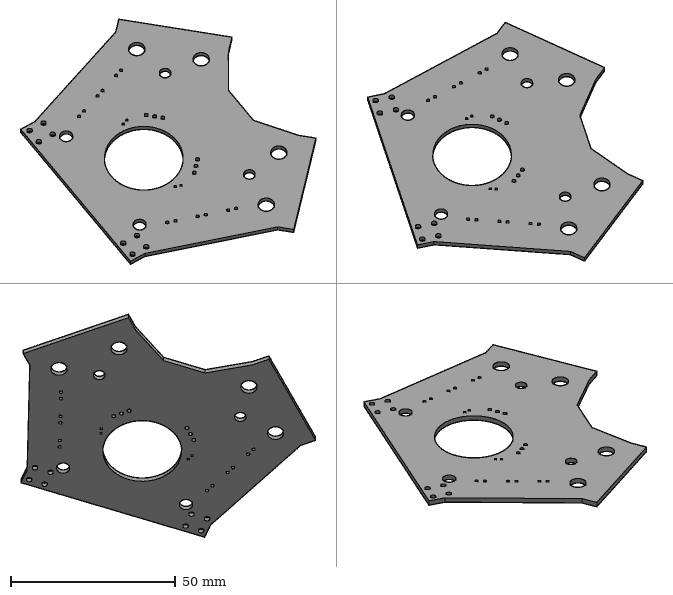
import cadquery as cq

thickness = 1.6
half_width = 47.7
top_y = 47.7
bottom_y = top_y - 72.7
bore_diameter = 24.0

base_half_width = 30.0
base_side_height = 5.25
arm_end_span = 24.8
outer_shoulder = 3.5
inner_shoulder = 3.8
notch_half_width = 6.8
notch_y = 35.7

arm_hole_diameter = 5.0
arm_hole_near = 21.2
arm_hole_far = 35.3
upper_hole_diameter = 3.5
upper_hole_position = (23.0, 23.3)
lower_hole_diameter = 4.0
lower_hole_position = (20.0, -15.0)

corner_hole_diameter = 1.6
corner_hole_pitch = 5.1
corner_hole_start = (23.0, -23.0)

row_hole_diameter = 1.1
row_centre = (11.3, 11.55)
row_step = 1.8

pair_hole_diameter = 1.0
pair_count = 3
pair_start = (31.4, 12.8)
pair_pitch = (-3.2, -9.0)
pair_step = (-0.9, -2.4)

fine_hole_diameter = 0.7
fine_hole_start = (14.8, 3.7)
fine_hole_step = (-0.6, -1.7)


def offset(point, step, count=1):
    """Move a point by a number of equal steps."""
    return (point[0] + count * step[0], point[1] + count * step[1])


def mirrored(points):
    """Return the points together with their mirror images about X = 0."""
    return points + [(-x, y) for x, y in points]


def make_plate():
    tip_x = half_width - arm_end_span
    tip_y = top_y - arm_end_span
    right_side = [
        (base_half_width, bottom_y),
        (base_half_width, bottom_y + base_side_height),
        (half_width - outer_shoulder, tip_y - outer_shoulder),
        (half_width, tip_y),
        (tip_x, top_y),
        (tip_x - inner_shoulder, top_y - inner_shoulder),
        (notch_half_width, notch_y),
    ]
    left_side = [(-x, y) for x, y in reversed(right_side)]
    return cq.Workplane("XY").polyline(right_side + left_side).close().extrude(thickness)


def drill(plate, points, diameter):
    """Cut through holes at the points and at their mirror images."""
    cutters = cq.Workplane("XY").pushPoints(mirrored(points)).circle(diameter / 2).extrude(thickness)
    return plate.cut(cutters)


arm_holes = [(arm_hole_near, arm_hole_far), (arm_hole_far, arm_hole_near)]
corner_holes = [
    offset(corner_hole_start, (column * corner_hole_pitch, row * corner_hole_pitch))
    for column in range(2)
    for row in range(2)
]
row_holes = [offset(row_centre, (row_step, -row_step), index) for index in (-1, 0, 1)]
pair_holes = []
for index in range(pair_count):
    first_hole = offset(pair_start, pair_pitch, index)
    pair_holes += [first_hole, offset(first_hole, pair_step)]
fine_holes = [fine_hole_start, offset(fine_hole_start, fine_hole_step)]

result = make_plate()
result = result.cut(cq.Workplane("XY").circle(bore_diameter / 2).extrude(thickness))
result = drill(result, arm_holes, arm_hole_diameter)
result = drill(result, [upper_hole_position], upper_hole_diameter)
result = drill(result, [lower_hole_position], lower_hole_diameter)
result = drill(result, corner_holes, corner_hole_diameter)
result = drill(result, row_holes, row_hole_diameter)
result = drill(result, pair_holes, pair_hole_diameter)
result = drill(result, fine_holes, fine_hole_diameter)